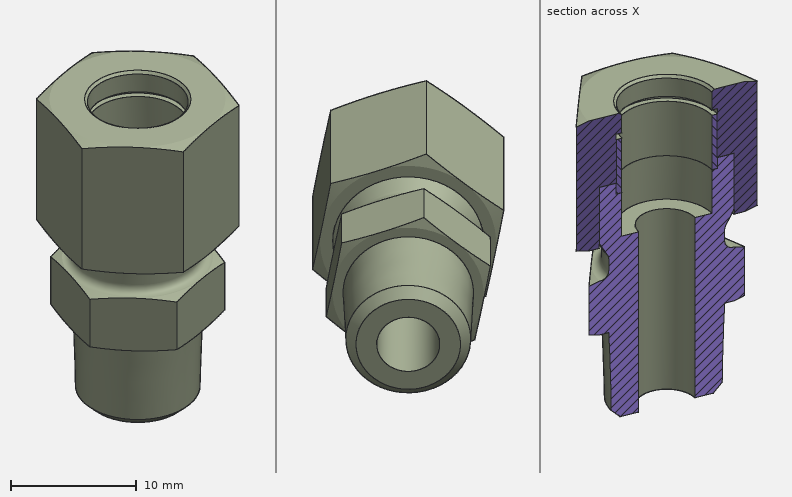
import cadquery as cq
import math


TOTAL_HEIGHT = 28.0
STUB_LENGTH = 8.0
BODY_HEX_HEIGHT = 5.0
NUT_HEIGHT = 12.0
UNDERCUT_HEIGHT = 2.0
NUT_LIP_LENGTH = 1.9
RING_TOP_GAP = 0.45
RING_LENGTH = 5.0
RING_SEAT_DEPTH = 1.0
TUBE_SOCKET_DEPTH = 4.0

NUT_ACROSS_FLATS = 14.0
BODY_ACROSS_FLATS = 12.0
HEX_CHAMFER_ANGLE = 15.0

PASSAGE_DIAMETER = 5.0
TUBE_DIAMETER = 8.0
RING_DIAMETER = 9.02
NECK_DIAMETER = 10.4
THREAD_DIAMETER = 12.0
STUB_TIP_DIAMETER = 9.95
STUB_ROOT_DIAMETER = 10.4

STUB_CHAMFER = 0.8
UNDERCUT_FILLET = 0.7
FLARE_ANGLE = 30.0
NUT_MOUTH_CHAMFER = 0.22

body_hex_top = STUB_LENGTH + BODY_HEX_HEIGHT
flare_bottom = body_hex_top + UNDERCUT_HEIGHT
nut_bottom = TOTAL_HEIGHT - NUT_HEIGHT
lip_bottom = TOTAL_HEIGHT - NUT_LIP_LENGTH
ring_top = lip_bottom - RING_TOP_GAP
ring_bottom = ring_top - RING_LENGTH
body_top = ring_bottom + RING_SEAT_DEPTH
socket_bottom = ring_bottom - TUBE_SOCKET_DEPTH


def cylinder(diameter, bottom, top):
    """Cylinder on the Z axis between two levels."""
    return cq.Workplane("XY", origin=(0, 0, bottom)).circle(diameter / 2).extrude(top - bottom)


def turned(profile):
    """Revolve an (r, z) profile drawn on XZ about the Z axis."""
    return profile.close().revolve(360, (0, 0, 0), (0, 1, 0))


def chamfered_hexagon(across_flats, bottom, top):
    """Hexagonal prism with corners on the Y axis, turned to a shallow cone at both ends."""
    face_radius = across_flats / 2
    corner_radius = face_radius / math.cos(math.radians(30))
    drop = (corner_radius - face_radius) * math.tan(math.radians(HEX_CHAMFER_ANGLE))
    prism = (
        cq.Workplane("XY", origin=(0, 0, bottom))
        .polygon(6, 2 * corner_radius)
        .extrude(top - bottom)
        .rotate((0, 0, 0), (0, 0, 1), 30)
    )
    envelope = turned(
        cq.Workplane("XZ")
        .moveTo(0, bottom)
        .lineTo(face_radius, bottom)
        .lineTo(corner_radius, bottom + drop)
        .lineTo(corner_radius, top - drop)
        .lineTo(face_radius, top)
        .lineTo(0, top)
    )
    return prism.intersect(envelope)


def make_stub():
    """Tapered screw-in end with a 45 degree tip chamfer."""
    tip_radius = STUB_TIP_DIAMETER / 2
    return turned(
        cq.Workplane("XZ")
        .lineTo(tip_radius - STUB_CHAMFER, 0)
        .lineTo(tip_radius, STUB_CHAMFER)
        .lineTo(STUB_ROOT_DIAMETER / 2, STUB_LENGTH)
        .lineTo(0, STUB_LENGTH)
    )


def make_neck():
    """Undercut above the hexagon, rounded at both ends, flaring out to the nut thread."""
    neck_radius = NECK_DIAMETER / 2
    thread_radius = THREAD_DIAMETER / 2
    fillet = UNDERCUT_FILLET
    flare = math.radians(FLARE_ANGLE)
    flare_top = flare_bottom + (thread_radius - neck_radius) / math.tan(flare)

    bend_start = flare_bottom - fillet * math.tan(flare / 2)
    bend_centre = neck_radius + fillet

    def bend_point(angle):
        return (bend_centre - fillet * math.cos(angle), bend_start + fillet * math.sin(angle))

    quarter = fillet * (1 - math.cos(math.radians(45)))
    return turned(
        cq.Workplane("XZ")
        .moveTo(0, body_hex_top)
        .lineTo(neck_radius + fillet, body_hex_top)
        .threePointArc(
            (neck_radius + quarter, body_hex_top + quarter),
            (neck_radius, body_hex_top + fillet),
        )
        .lineTo(neck_radius, bend_start)
        .threePointArc(bend_point(flare / 2), bend_point(flare))
        .lineTo(thread_radius, flare_top)
        .lineTo(thread_radius, body_top)
        .lineTo(0, body_top)
    )


def make_body():
    """Stub, hexagon and threaded neck, bored for the passage, the tube and the ring."""
    hexagon = chamfered_hexagon(BODY_ACROSS_FLATS, STUB_LENGTH, body_hex_top)
    return (
        hexagon.union(make_stub())
        .union(make_neck())
        .cut(cylinder(PASSAGE_DIAMETER, 0, body_top))
        .cut(cylinder(TUBE_DIAMETER, socket_bottom, body_top))
        .cut(cylinder(RING_DIAMETER, ring_bottom, body_top))
    )


def make_ring():
    """Cutting ring: a plain sleeve around the tube, seated in the body."""
    return cylinder(RING_DIAMETER, ring_bottom, ring_top).cut(
        cylinder(TUBE_DIAMETER, ring_bottom, ring_top)
    )


def make_nut():
    """Union nut with a lip around the tube, a ring recess and a bore for the body thread."""
    tube_radius = TUBE_DIAMETER / 2
    mouth = turned(
        cq.Workplane("XZ")
        .moveTo(0, TOTAL_HEIGHT - NUT_MOUTH_CHAMFER)
        .lineTo(tube_radius, TOTAL_HEIGHT - NUT_MOUTH_CHAMFER)
        .lineTo(tube_radius + NUT_MOUTH_CHAMFER, TOTAL_HEIGHT)
        .lineTo(0, TOTAL_HEIGHT)
    )
    return (
        chamfered_hexagon(NUT_ACROSS_FLATS, nut_bottom, TOTAL_HEIGHT)
        .cut(cylinder(THREAD_DIAMETER, nut_bottom, body_top))
        .cut(cylinder(RING_DIAMETER, body_top, lip_bottom))
        .cut(cylinder(TUBE_DIAMETER, lip_bottom, TOTAL_HEIGHT))
        .cut(mouth)
    )


body = make_body()
cutting_ring = make_ring()
nut = make_nut()

result = cq.Compound.makeCompound([body.val(), cutting_ring.val(), nut.val()])